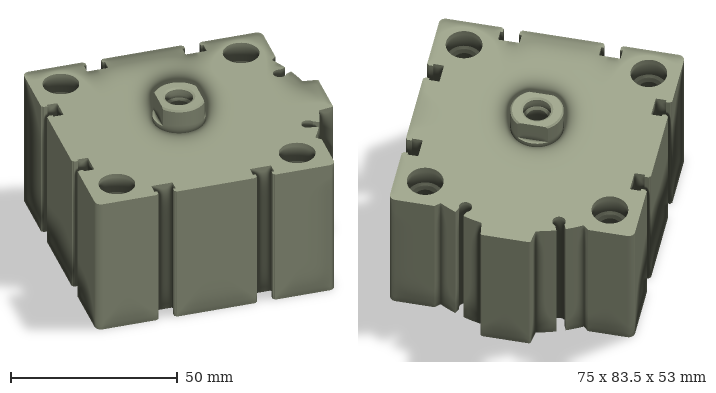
import cadquery as cq
import math

housing_width = 75.0
half_width = housing_width / 2
housing_height = 45.0
overall_height = 53.0
overall_length = 83.5
corner_radius = 2.0

back_arc_radius = 42.1
relief_start_x = 23.5
tab_top_y = overall_length - half_width
tab_top_half_width = 7.6
tab_base_half_width = 8.3
tab_corner_radius = 0.6
tab_root_radius = 0.4

t_slot_offset = 15.45
t_slot_neck_width = 5
t_slot_neck_depth = 1.8
t_slot_head_width = 6.6
t_slot_depth = 5.1
t_slot_lip_radius = 0.5
t_slot_corner_radius = 0.3

keyhole_angle = 21.7
keyhole_center_radius = 38.75
keyhole_diameter = 4.0
keyhole_neck_width = 2.8

mount_hole_pitch = 56.5
mount_hole_diameter = 6.7
mount_countersink_diameter = 8.4
mount_counterbore_diameter = 11.0
mount_counterbore_depth = 6.5

rod_diameter = 16.0
rod_seat_depth = 8.0
rod_seat_z = housing_height - rod_seat_depth
rod_top_chamfer = 0.5
rod_flat_width = 13.0
rod_flat_start = 1.5

rod_bore_mouth_diameter = 9.8
rod_bore_mouth_angle = 120
rod_bore_diameter = 8.4
rod_bore_depth = 3.25
rod_bore_ledge_diameter = 7.85
rod_drill_diameter = 6.7
rod_drill_depth = 10
drill_tip_angle = 118


def arc_y(x):
    """Y of the back arc at a given X."""
    return math.sqrt(back_arc_radius**2 - x**2)


def relief_end_x():
    """X where the 45 degree relief, falling inward from the back wall, meets the back arc."""
    drop = relief_start_x - half_width
    return (drop + math.sqrt(2 * back_arc_radius**2 - drop**2)) / 2


def is_tab_root(edge):
    """True for the two vertical edges where the tab sides meet the back arc."""
    return math.isclose(abs(edge.Center().x), tab_base_half_width, abs_tol=0.01)


def make_housing_block():
    relief_x = relief_end_x()
    relief_y = arc_y(relief_x)
    tab_base_y = arc_y(tab_base_half_width)
    mid_x = (relief_x + tab_base_half_width) / 2
    block = (
        cq.Workplane("XY")
        .moveTo(-half_width, -half_width)
        .lineTo(half_width, -half_width)
        .lineTo(half_width, half_width)
        .lineTo(relief_start_x, half_width)
        .lineTo(relief_x, relief_y)
        .threePointArc((mid_x, arc_y(mid_x)), (tab_base_half_width, tab_base_y))
        .lineTo(tab_top_half_width, tab_top_y)
        .lineTo(-tab_top_half_width, tab_top_y)
        .lineTo(-tab_base_half_width, tab_base_y)
        .threePointArc((-mid_x, arc_y(mid_x)), (-relief_x, relief_y))
        .lineTo(-relief_start_x, half_width)
        .lineTo(-half_width, half_width)
        .close()
        .extrude(housing_height)
    )
    block = block.edges("|Z").edges("<X or >X").fillet(corner_radius)
    block = block.edges("|Z").edges(">Y").fillet(tab_corner_radius)
    tab_roots = block.edges("|Z").filter(is_tab_root)
    return tab_roots.fillet(tab_root_radius)


def make_t_slot(offset):
    """T-slot cutter for the front wall, centred at X = offset, with rounded lips and corners."""
    neck_half = t_slot_neck_width / 2
    head_half = t_slot_head_width / 2
    mouth_half = neck_half + t_slot_lip_radius
    lip_y = -half_width + t_slot_lip_radius
    neck_y = -half_width + t_slot_neck_depth
    floor_y = -half_width + t_slot_depth
    t_slot = (
        cq.Workplane("XY")
        .moveTo(offset - mouth_half, -half_width)
        .radiusArc((offset - neck_half, lip_y), t_slot_lip_radius)
        .lineTo(offset - neck_half, neck_y)
        .lineTo(offset - head_half, neck_y)
        .lineTo(offset - head_half, floor_y)
        .lineTo(offset + head_half, floor_y)
        .lineTo(offset + head_half, neck_y)
        .lineTo(offset + neck_half, neck_y)
        .lineTo(offset + neck_half, lip_y)
        .radiusArc((offset + mouth_half, -half_width), t_slot_lip_radius)
        .close()
        .extrude(housing_height)
    )
    return t_slot.edges("|Z").edges(">Y").fillet(t_slot_corner_radius)


def make_keyhole(angle):
    """Keyhole cutter pointing along the arc's radius, turned by angle from +Y."""
    hole = (
        cq.Workplane("XY")
        .center(0, keyhole_center_radius)
        .circle(keyhole_diameter / 2)
        .extrude(housing_height)
    )
    neck_length = tab_top_y - keyhole_center_radius
    neck = (
        cq.Workplane("XY")
        .center(0, keyhole_center_radius + neck_length / 2)
        .rect(keyhole_neck_width, neck_length)
        .extrude(housing_height)
    )
    return hole.union(neck).rotate((0, 0, 0), (0, 0, 1), angle)


def make_mount_hole(x, y):
    """Cutter: counterbore from the top, countersink at its floor, then a through hole."""
    hole_radius = mount_hole_diameter / 2
    sink_radius = mount_countersink_diameter / 2
    bore_radius = mount_counterbore_diameter / 2
    bore_floor = housing_height - mount_counterbore_depth
    sink_bottom = bore_floor - (sink_radius - hole_radius)
    profile = [
        (0, 0),
        (hole_radius, 0),
        (hole_radius, sink_bottom),
        (sink_radius, bore_floor),
        (bore_radius, bore_floor),
        (bore_radius, housing_height),
        (0, housing_height),
    ]
    hole = cq.Workplane("XZ").polyline(profile).close().revolve(360, (0, 0, 0), (0, 1, 0))
    return hole.translate((x, y, 0))


def make_rod_seat():
    """Cutter for the blind hole that holds the rod."""
    return (
        cq.Workplane("XY", origin=(0, 0, rod_seat_z))
        .circle(rod_diameter / 2)
        .extrude(rod_seat_depth)
    )


def make_housing():
    housing = make_housing_block()
    for wall_angle in (-90, 0, 90):
        for offset in (-t_slot_offset, t_slot_offset):
            t_slot = make_t_slot(offset).rotate((0, 0, 0), (0, 0, 1), wall_angle)
            housing = housing.cut(t_slot)
    for angle in (-keyhole_angle, keyhole_angle):
        housing = housing.cut(make_keyhole(angle))
    for x in (-mount_hole_pitch / 2, mount_hole_pitch / 2):
        for y in (-mount_hole_pitch / 2, mount_hole_pitch / 2):
            housing = housing.cut(make_mount_hole(x, y))
    return housing.cut(make_rod_seat())


def cone_height(large_radius, small_radius, full_angle):
    """Height of a cone between two radii, given its full opening angle in degrees."""
    return (large_radius - small_radius) / math.tan(math.radians(full_angle / 2))


def make_rod_bore():
    """Cutter: countersunk mouth, bore, small ledge with a 45 degree cone, drill with a conical tip."""
    mouth_radius = rod_bore_mouth_diameter / 2
    bore_radius = rod_bore_diameter / 2
    ledge_radius = rod_bore_ledge_diameter / 2
    drill_radius = rod_drill_diameter / 2
    mouth_bottom = overall_height - cone_height(mouth_radius, bore_radius, rod_bore_mouth_angle)
    ledge_z = overall_height - rod_bore_depth
    cone_bottom = ledge_z - (ledge_radius - drill_radius)
    drill_bottom = overall_height - rod_drill_depth
    tip_z = drill_bottom - cone_height(drill_radius, 0, drill_tip_angle)
    profile = [
        (0, tip_z),
        (drill_radius, drill_bottom),
        (drill_radius, cone_bottom),
        (ledge_radius, ledge_z),
        (bore_radius, ledge_z),
        (bore_radius, mouth_bottom),
        (mouth_radius, overall_height),
        (0, overall_height),
    ]
    return cq.Workplane("XZ").polyline(profile).close().revolve(360, (0, 0, 0), (0, 1, 0))


def make_rod_flat(side):
    """Cutter for one wrench flat, facing +Y for side = 1 and -Y for side = -1."""
    flat_depth = (rod_diameter - rod_flat_width) / 2
    flat_bottom = housing_height + rod_flat_start
    flat_height = overall_height - flat_bottom
    center_y = side * (rod_flat_width + flat_depth) / 2
    center_z = flat_bottom + flat_height / 2
    flat = cq.Workplane("XY").box(rod_diameter, flat_depth, flat_height)
    return flat.translate((0, center_y, center_z))


def make_rod():
    rod = (
        cq.Workplane("XY", origin=(0, 0, rod_seat_z))
        .circle(rod_diameter / 2)
        .extrude(overall_height - rod_seat_z)
        .faces(">Z")
        .chamfer(rod_top_chamfer)
    )
    for side in (-1, 1):
        rod = rod.cut(make_rod_flat(side))
    return rod.cut(make_rod_bore())


housing = make_housing()
rod = make_rod()
result = cq.Compound.makeCompound([housing.val(), rod.val()])